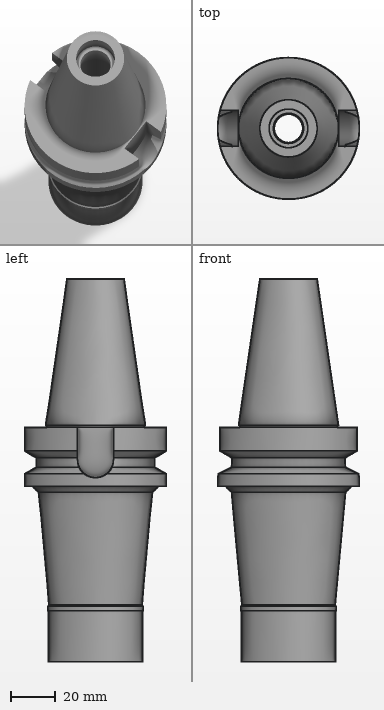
import cadquery as cq

overall_height = 170.4
nut_barrel_top = 22.8
nut_collar_top = 24.9
seam_height = 25.4
lower_flange_bottom = 78.0
lower_flange_top = 83.7
groove_bottom = 86.5
groove_top = 90.8
upper_flange_bottom = 93.9
flange_face = 104.3
taper_base = 105.3

flange_radius = 31.5
groove_radius = 26.4
shoulder_radius = 28.0
body_top_radius = 25.4
body_bottom_radius = 20.8
taper_base_radius = 22.24
taper_relief_radius = 21.8
taper_ratio = 7 / 24
taper_tip_radius = taper_base_radius - (overall_height - taper_base) * taper_ratio / 2
shoulder_bottom = lower_flange_bottom - (shoulder_radius - body_top_radius)

bore_radius = 6.73
counterbore_radius = 8.6
counterbore_depth = 8.9

slot_width = 16.0
slot_bottom = 82.0
slot_floor_distance = 22.3
slot_arc_center = slot_bottom + slot_width / 2

nut_radius = 21.0
nut_collar_radius = 21.3
nut_neck_radius = 20.0
nut_bore_radius = 6.3


def revolve_about_axis(profile):
    """Revolve a closed (radius, height) outline around Z."""
    return cq.Workplane("XZ").polyline(profile).close().revolve(360, (0, 0), (0, 1))


def drive_slot():
    """Cutter for the +X drive slot: open at the flange face, round at its lower end."""
    half_width = slot_width / 2
    return (
        cq.Workplane("YZ", origin=(slot_floor_distance, 0, 0))
        .moveTo(-half_width, flange_face)
        .lineTo(-half_width, slot_arc_center)
        .threePointArc((0, slot_bottom), (half_width, slot_arc_center))
        .lineTo(half_width, flange_face)
        .close()
        .extrude(flange_radius)
    )


def make_holder():
    """Tapered tool holder with a V-grooved flange, a stepped bore and two drive slots."""
    counterbore_floor = overall_height - counterbore_depth
    holder = revolve_about_axis([
        (bore_radius, seam_height),
        (body_bottom_radius, seam_height),
        (body_top_radius, shoulder_bottom),
        (shoulder_radius, lower_flange_bottom),
        (flange_radius, lower_flange_bottom),
        (flange_radius, lower_flange_top),
        (groove_radius, groove_bottom),
        (groove_radius, groove_top),
        (flange_radius, upper_flange_bottom),
        (flange_radius, flange_face),
        (taper_relief_radius, flange_face),
        (taper_relief_radius, taper_base),
        (taper_base_radius, taper_base),
        (taper_tip_radius, overall_height),
        (counterbore_radius, overall_height),
        (counterbore_radius, counterbore_floor),
        (bore_radius, counterbore_floor),
    ])
    for angle in (0, 180):
        holder = holder.cut(drive_slot().rotate((0, 0, 0), (0, 0, 1), angle))
    return holder


def make_nut():
    """Clamping nut with a thin collar and a short neck that meets the holder."""
    return revolve_about_axis([
        (nut_bore_radius, 0),
        (nut_radius, 0),
        (nut_radius, nut_barrel_top),
        (nut_collar_radius, nut_barrel_top),
        (nut_collar_radius, nut_collar_top),
        (nut_neck_radius, nut_collar_top),
        (nut_neck_radius, seam_height),
        (nut_bore_radius, seam_height),
    ])


holder = make_holder()
nut = make_nut()

result = cq.Compound.makeCompound([holder.val(), nut.val()])